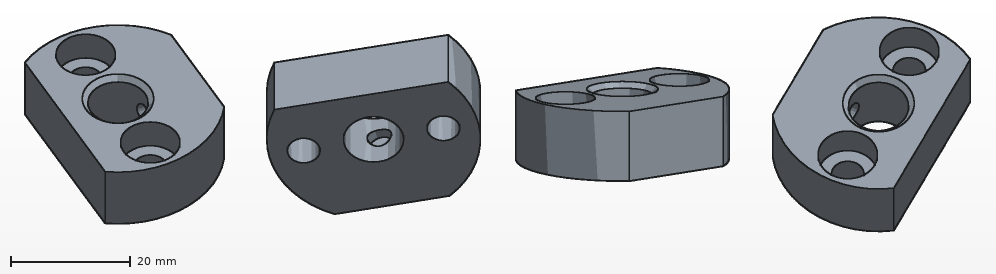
import cadquery as cq

diameter = 35.93
height = 12.0
rear_flat = 15.02
front_flat = 10.0

bore_diameter = 10.1
rim_diameter = 12.0
rim_chamfer = (rim_diameter - bore_diameter) / 2

screw_offset = 12.0
screw_hole_diameter = 5.5
counterbore_diameter = 10.0
counterbore_depth = 5.5

cross_hole_diameter = 4.13
cross_hole_height = height / 2
cross_hole_floor = 6.8


def make_body():
    disc = cq.Workplane("XY").circle(diameter / 2).extrude(height)
    depth = rear_flat + front_flat
    flats = (
        cq.Workplane("XY")
        .center(0, (rear_flat - front_flat) / 2)
        .rect(diameter, depth)
        .extrude(height)
    )
    return disc.intersect(flats)


def cut_bore(body):
    bored = body.faces(">Z").workplane(origin=(0, 0, height)).hole(bore_diameter)
    rim = cq.Solid.makeCone(
        bore_diameter / 2, rim_diameter / 2, rim_chamfer, pnt=cq.Vector(0, 0, height - rim_chamfer)
    )
    return bored.cut(cq.Workplane(obj=rim))


def cut_screw_holes(body):
    return (
        body.faces(">Z")
        .workplane(origin=(0, 0, height))
        .pushPoints([(-screw_offset, 0), (screw_offset, 0)])
        .cboreHole(screw_hole_diameter, counterbore_diameter, counterbore_depth)
    )


def cut_cross_hole(body):
    cross_hole = (
        cq.Workplane("XZ")
        .center(0, cross_hole_height)
        .circle(cross_hole_diameter / 2)
        .extrude(-cross_hole_floor)
    )
    return body.cut(cross_hole)


result = cut_cross_hole(cut_screw_holes(cut_bore(make_body())))